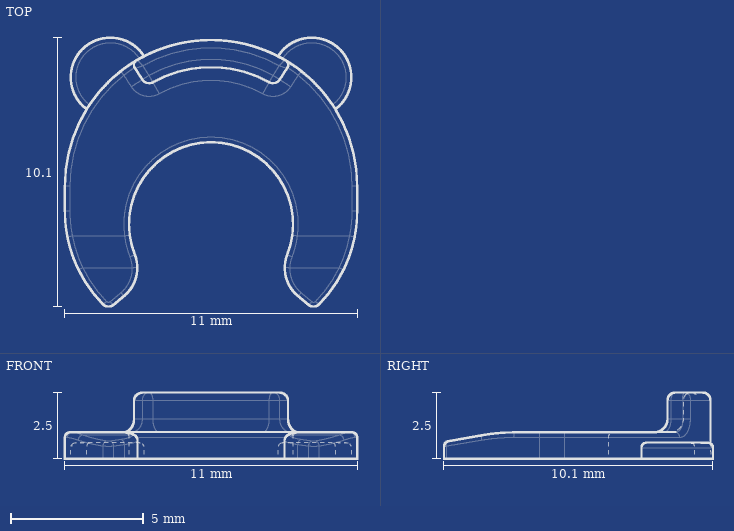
import cadquery as cq
import math

plate_thickness = 1.0
bore_radius = 3.08
half_width = 5.5
crown_center_y = 1.43
side_flat_end_y = 0.5
flank_radius = 5.0
lip_radius = 1.38
lip_start_angle = 21.6
lip_end_angle = 50
tip_radius = 0.3
rim_fillet = 0.2

slope_start_y = -0.44
slope_angle = 10
slope_blend_length = 1.2

wall_height = 2.5
wall_thickness = 1.02
wall_half_angle = 32.8
wall_fillet = 0.3
wall_root_fillet = 0.5

ear_radius = 1.5
ear_x = 3.78
ear_y = 5.52
ear_thickness = 0.6

tolerance = 0.001


def polar(radius, degrees, center=(0, 0)):
    angle = math.radians(degrees)
    return (center[0] + radius * math.cos(angle), center[1] + radius * math.sin(angle))


def mirrored(point):
    return (-point[0], point[1])


def make_plate():
    """Horseshoe plate with sloping tips, before its rim is rounded."""
    flank_center = (half_width - flank_radius, side_flat_end_y)
    lip_center = polar(bore_radius + lip_radius, -lip_start_angle)
    lip_start = polar(bore_radius, -lip_start_angle)
    lip_end = polar(lip_radius, 180 + lip_end_angle, lip_center)
    lip_middle = polar(lip_radius, 180 + (lip_end_angle - lip_start_angle) / 2, lip_center)

    direction = polar(1, lip_end_angle - 90)
    offset = (lip_end[0] - flank_center[0], lip_end[1] - flank_center[1])
    along = offset[0] * direction[0] + offset[1] * direction[1]
    gap = flank_radius**2 - offset[0]**2 - offset[1]**2
    reach = -along + math.sqrt(along**2 + gap)
    tip = (lip_end[0] + reach * direction[0], lip_end[1] + reach * direction[1])
    tip_angle = math.degrees(math.atan2(tip[1] - flank_center[1], tip[0] - flank_center[0]))
    flank_middle = polar(flank_radius, tip_angle / 2, flank_center)

    plate = (
        cq.Workplane("XY")
        .moveTo(half_width, side_flat_end_y)
        .lineTo(half_width, crown_center_y)
        .threePointArc((0, crown_center_y + half_width), (-half_width, crown_center_y))
        .lineTo(-half_width, side_flat_end_y)
        .threePointArc(mirrored(flank_middle), mirrored(tip))
        .lineTo(*mirrored(lip_end))
        .threePointArc(mirrored(lip_middle), mirrored(lip_start))
        .threePointArc((0, bore_radius), lip_start)
        .threePointArc(lip_middle, lip_end)
        .lineTo(*tip)
        .threePointArc(flank_middle, (half_width, side_flat_end_y))
        .close()
        .extrude(plate_thickness)
    )
    for x, y in (tip, mirrored(tip)):
        selector = cq.selectors.NearestToPointSelector((x, y, plate_thickness / 2))
        plate = plate.edges(selector).fillet(tip_radius)
    return plate.cut(make_slope_cutter())


def make_slope_cutter():
    """Volume above the tips: a tangent blend running into a constant slope."""
    slope = math.radians(slope_angle)
    blend_radius = slope_blend_length / math.sin(slope)
    blend_center = (slope_start_y, plate_thickness - blend_radius)
    blend_middle = polar(blend_radius, 90 + slope_angle / 2, blend_center)
    blend_end = polar(blend_radius, 90 + slope_angle, blend_center)
    front_y = -half_width
    front_z = blend_end[1] - (blend_end[0] - front_y) * math.tan(slope)
    return (
        cq.Workplane("YZ")
        .moveTo(slope_start_y, plate_thickness)
        .threePointArc(blend_middle, blend_end)
        .lineTo(front_y, front_z)
        .lineTo(front_y, plate_thickness)
        .close()
        .extrude(half_width, both=True)
    )


def make_wall():
    """Curved wall flush with the crown, with rounded inner corners."""
    center = (0, crown_center_y)
    inner_radius = half_width - wall_thickness
    right = 90 - wall_half_angle
    left = 90 + wall_half_angle
    wall = (
        cq.Workplane("XY")
        .moveTo(*polar(half_width, right, center))
        .threePointArc(polar(half_width, 90, center), polar(half_width, left, center))
        .lineTo(*polar(inner_radius, left, center))
        .threePointArc(polar(inner_radius, 90, center), polar(inner_radius, right, center))
        .close()
        .extrude(wall_height)
    )
    for angle in (left, right):
        corner = (*polar(inner_radius, angle, center), wall_height / 2)
        wall = wall.edges(cq.selectors.NearestToPointSelector(corner)).fillet(wall_fillet)
    return wall


def make_ear(side):
    return (
        cq.Workplane("XY")
        .center(side * ear_x, ear_y)
        .circle(ear_radius)
        .extrude(ear_thickness)
        .faces(">Z")
        .edges()
        .fillet(rim_fillet)
    )


def is_wall_root(edge):
    """Edges where the inner side and ends of the wall meet the plate."""
    center = edge.Center()
    at_plate_top = abs(center.z - plate_thickness) < tolerance
    root_front_y = polar(half_width - wall_thickness, 90 + wall_half_angle, (0, crown_center_y))[1]
    return at_plate_top and center.y > root_front_y - tolerance


def is_plate_rim(edge):
    """Upper edges along the plate outline, without uprights and slope limits."""
    center = edge.Center()
    tangent = edge.tangentAt(0.5)
    upright = abs(tangent.z) > 0.11 - tolerance
    slope_limit = abs(tangent.x) > 0.11 - tolerance and abs(center.x) > bore_radius
    at_wall = center.y > ear_y - ear_radius
    return center.z > tolerance and not (upright or slope_limit or at_wall)


def is_wall_outer_corner(edge):
    """Edges that carry the rim up the root fillet and the wall ends."""
    middle = edge.positionAt(0.5)
    on_crown = abs(math.hypot(middle.x, middle.y - crown_center_y) - half_width) < tolerance
    return on_crown and middle.y > ear_y and plate_thickness < middle.z < wall_height - tolerance


def is_rounded_rim(edge):
    return is_plate_rim(edge) or is_wall_outer_corner(edge)


def fillet_where(body, condition, radius):
    chosen = [edge for edge in body.edges().vals() if condition(edge)]
    return body.newObject(chosen).fillet(radius)


body = make_plate().union(make_wall())
body = fillet_where(body, is_wall_root, wall_root_fillet)
body = fillet_where(body, is_rounded_rim, rim_fillet)
body = body.faces(">Z").edges().fillet(wall_fillet)

result = body.union(make_ear(-1)).union(make_ear(1))